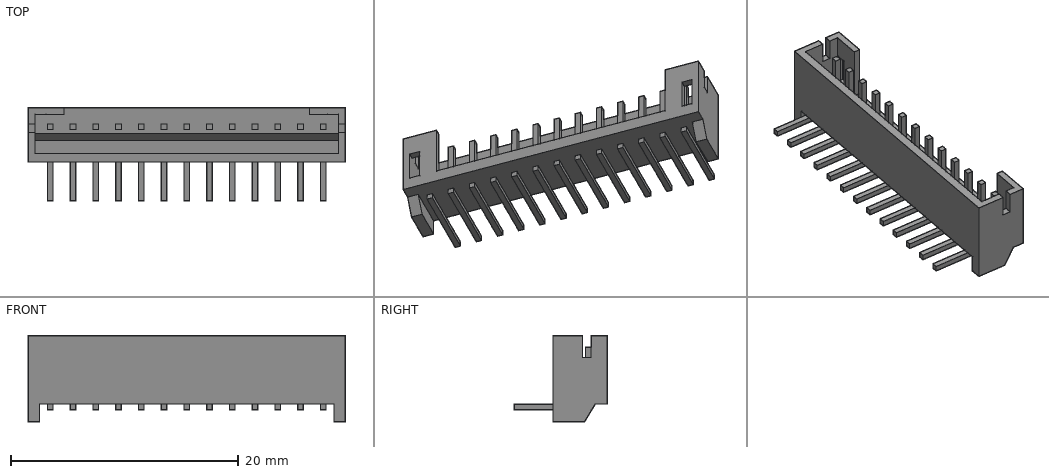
import cadquery as cq


length = 27.9
depth = 4.8
height = 7.6
base_z = 1.55
end_wall = 0.6
back_wall = 0.59
front_wall = 0.75

floor_thickness = 0.59
slope_size = 0.59
trough_width = 1.17
trough_z = base_z + floor_thickness
floor_z = trough_z + slope_size

back_tab_length = 3.15
window_width = 0.95
window_top_z = height - 2.0
slot_width = 0.75
slot_depth = 1.93
slot_front_y = 2.62

foot_width = 1.0
foot_tip_depth = 2.8
foot_root_depth = 3.75

pin_count = 13
pin_row_span = 24.0
pin_size = 0.5
pin_y = 3.12
pin_top_z = height - 1.0
tail_reach = 3.4

inner_length = length - 2 * end_wall
inner_back_y = depth - back_wall


def block(x_range, y_range, z_range):
    """Box filling the given (low, high) ranges."""
    corner = (x_range[0], y_range[0], z_range[0])
    size = [high - low for low, high in (x_range, y_range, z_range)]
    return cq.Workplane("XY").box(*size, centered=False).translate(corner)


def side_profile(points, x_start, width):
    """Extrude a (Y, Z) outline along +X from x_start."""
    return cq.Workplane("YZ", origin=(x_start, 0, 0)).polyline(points).close().extrude(width)


def make_cavity():
    """Space inside the walls, with the stepped floor as its lower side."""
    slope_start_y = front_wall + trough_width
    outline = [
        (front_wall, trough_z),
        (slope_start_y, trough_z),
        (slope_start_y + slope_size, floor_z),
        (inner_back_y, floor_z),
        (inner_back_y, height),
        (front_wall, height),
    ]
    return side_profile(outline, -inner_length / 2, inner_length)


def make_back_opening():
    """Gap in the back wall between its two corner tabs."""
    half_gap = length / 2 - back_tab_length
    return block((-half_gap, half_gap), (inner_back_y, depth), (floor_z, height))


def make_tab_windows():
    """Windows through both corner tabs, beside the end walls."""
    outer_x = inner_length / 2
    window = block(
        (outer_x - window_width, outer_x), (inner_back_y, depth), (floor_z, window_top_z)
    )
    return window.union(window.mirror("YZ"))


def make_end_slots():
    """Open-topped slots cut through both end walls."""
    return block(
        (-length / 2, length / 2),
        (slot_front_y, slot_front_y + slot_width),
        (height - slot_depth, height),
    )


def make_feet():
    """Feet below both ends, tapered at the back."""
    outline = [(0, 0), (foot_tip_depth, 0), (foot_root_depth, base_z), (0, base_z)]
    foot = side_profile(outline, -length / 2, foot_width)
    return foot.union(foot.mirror("YZ"))


def make_pin(x):
    """Right-angle pin: upright through the floor, tail running forward under the base."""
    back_y = pin_y + pin_size / 2
    upright_front_y = pin_y - pin_size / 2
    tail_bottom_z = base_z - pin_size
    outline = [
        (-tail_reach, tail_bottom_z),
        (back_y, tail_bottom_z),
        (back_y, pin_top_z),
        (upright_front_y, pin_top_z),
        (upright_front_y, base_z),
        (-tail_reach, base_z),
    ]
    return side_profile(outline, x - pin_size / 2, pin_size)


result = block((-length / 2, length / 2), (0, depth), (base_z, height))
result = result.cut(make_cavity())
result = result.cut(make_back_opening())
result = result.cut(make_tab_windows())
result = result.cut(make_end_slots())
result = result.union(make_feet())

pitch = pin_row_span / (pin_count - 1)
for index in range(pin_count):
    result = result.union(make_pin(index * pitch - pin_row_span / 2))